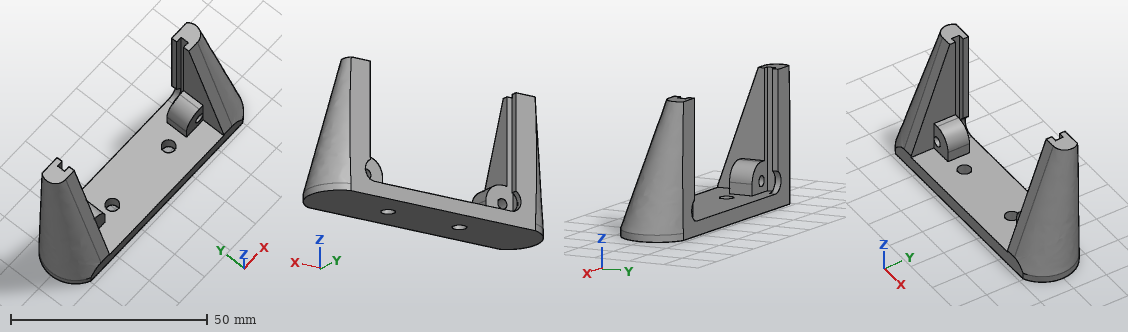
import cadquery as cq
import math

length = 70.3
depth = 17.5
height = 36.0

plate_height = 3.9
rim_height = 1.9
end_radius = 9.4
end_center_x = length / 2 - end_radius
end_center_y = 8.5

tower_inner_x = 22.5
top_radius = 3.45
top_center_x = 25.9
top_front_y = 11.75
top_center_y = top_front_y + top_radius

slot_bottom_x = 24.25
slot_rear_y = depth - 1.7
slot_front_y = depth - 4.0

ear_radius = 5.05
ear_center_x = 21.0
ear_center_z = 6.9
ear_front_y = 6.95
ear_hole_diameter = 2.8
head_recess_radius = ear_center_z - plate_height

mount_hole_x = 11.05
mount_hole_diameter = 3.7


def box(x_range, y_range, z_range):
    """Axis-aligned block given by its (low, high) limits."""
    sizes = [high - low for low, high in (x_range, y_range, z_range)]
    corner = (x_range[0], y_range[0], z_range[0])
    return cq.Workplane("XY").box(*sizes, centered=False).translate(corner)


def d_outline(plane, center_x, center_y, radius):
    """Half round on the outer side, closed by a straight inner face."""
    return (
        plane.moveTo(tower_inner_x, center_y - radius)
        .lineTo(center_x, center_y - radius)
        .threePointArc((center_x + radius, center_y), (center_x, center_y + radius))
        .lineTo(tower_inner_x, center_y + radius)
        .close()
    )


def make_rim():
    """Vertical-sided foot of the right tower."""
    plane = cq.Workplane("XY")
    return d_outline(plane, end_center_x, end_center_y, end_radius).extrude(rim_height)


def make_taper():
    """Tower body narrowing from the rim to the top and leaning to the rear."""
    lower = cq.Workplane("XY").workplane(offset=rim_height)
    lower = d_outline(lower, end_center_x, end_center_y, end_radius)
    upper = lower.workplane(offset=height - rim_height)
    return d_outline(upper, top_center_x, top_center_y, top_radius).loft(ruled=True)


def make_slot():
    return box((0, slot_bottom_x), (slot_front_y, slot_rear_y), (plate_height, height))


def ear_profile():
    """Ear side face, rounded at its upper inner corner, on the front wall plane of the slot."""
    arc_mid = ear_radius * math.sqrt(0.5)
    return (
        cq.Workplane("XZ", origin=(0, slot_front_y, 0))
        .moveTo(tower_inner_x, 0)
        .lineTo(tower_inner_x, ear_center_z + ear_radius)
        .lineTo(ear_center_x, ear_center_z + ear_radius)
        .threePointArc(
            (ear_center_x - arc_mid, ear_center_z + arc_mid),
            (ear_center_x - ear_radius, ear_center_z),
        )
        .lineTo(ear_center_x - ear_radius, 0)
        .close()
    )


def cross_cylinder(radius, front_y):
    """Cylinder on the ear hole axis, running from front_y to the rear face."""
    return (
        cq.Workplane("XZ", origin=(0, depth, 0))
        .center(ear_center_x, ear_center_z)
        .circle(radius)
        .extrude(depth - front_y)
    )


def make_ear():
    """Ear in front of the slot, drilled along Y."""
    ear = ear_profile().extrude(slot_front_y - ear_front_y)
    return ear.cut(cross_cylinder(ear_hole_diameter / 2, ear_front_y))


def make_head_seat():
    """Low block behind the slot that carries the floor of the head recess."""
    return box((ear_center_x, tower_inner_x), (slot_rear_y, depth), (0, ear_center_z))


def make_head_recess():
    """Recess for a screw head behind the slot, tangent to the plate top."""
    return cross_cylinder(head_recess_radius, slot_rear_y)


def make_plate():
    half_span = tower_inner_x
    return box((-half_span, half_span), (0, depth), (0, plate_height))


def make_side():
    """Right tower with its foot, ear and slot, trimmed to the plate depth."""
    envelope = box((0, length / 2), (0, depth), (0, height))
    tower = make_rim().union(make_taper()).intersect(envelope)
    tower = tower.union(make_ear()).union(make_head_seat())
    return tower.cut(make_slot()).cut(make_head_recess())


right_side = make_side()
left_side = right_side.mirror("YZ")
mount_holes = (
    cq.Workplane("XY")
    .pushPoints([(-mount_hole_x, depth / 2), (mount_hole_x, depth / 2)])
    .circle(mount_hole_diameter / 2)
    .extrude(plate_height)
)

result = make_plate().union(right_side).union(left_side).cut(mount_holes)